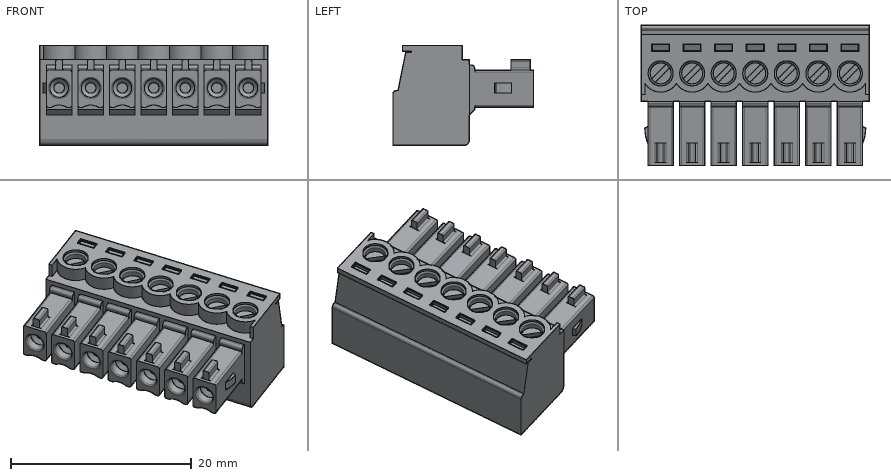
import cadquery as cq

LENGTH = 25.3
HEIGHT = 11.1
BODY_DEPTH = 8.48
PLUG_LENGTH = 7.13

POLES = 7
END_WALL = 0.4
PITCH = (LENGTH - 2 * END_WALL) / POLES
POLE_XS = [(i - (POLES - 1) / 2) * PITCH for i in range(POLES)]

FRONT_EDGE_RADIUS = 0.58
SHOULDER_Z = 6.1
SHOULDER_RADIUS = 0.38
SLOPE_BOTTOM_Y = 7.92
SLOPE_TOP_Y = 7.05
LIP_Y = 7.45
LIP_THICKNESS = 0.68
SLIT_HEIGHT = 0.08
SLIT_END_Y = 6.43

STEP_Z = 9.51
END_WALL_FRONT_Y = 0.75
SCREW_Y = 3.1
LOBE_RADIUS = 2.07

WELL_RADIUS = 1.4
WELL_DEPTH = 0.28
BORE_RADIUS = 1.16
BORE_ROUND = 0.18
SCREW_DEPTH = 1.04
SLOT_WIDTH = 0.55
SLOT_DEPTH = 0.55
SLOT_ANGLE = 45

RECESS_LENGTH = 2.0
RECESS_WIDTH = 0.8
RECESS_Y = 5.97
RECESS_RIM_DEPTH = 0.13
RECESS_LEDGE = 0.08
RECESS_BACK_DEPTH = 0.25
RECESS_FRONT_DEPTH = 0.5

PLUG_WIDTH = 2.83
PLUG_TOP_Z = 8.35
PLUG_BOTTOM_Z = 4.23
PLUG_EDGE_RADIUS = 0.23
GROOVE_WIDTH = 1.72
GROOVE_DEPTH = 0.25

COLLAR_DEPTH = 0.6
COLLAR_TOP_Z = 8.93
COLLAR_RADIUS = 0.38
COLLAR_FOOT_Z = 3.97

CONTACT_Z = 6.38
OPENING_RADIUS = 1.04
OPENING_MOUTH_ROUND = 0.15
OPENING_STRAIGHT_DEPTH = 1.05
CONTACT_RADIUS = 0.58
CONTACT_DEPTH = OPENING_STRAIGHT_DEPTH + OPENING_RADIUS - CONTACT_RADIUS

TAB_WIDTH = 0.75
TAB_LENGTH = 2.18
TAB_SETBACK = 0.35
TAB_TOP_ROUND = 0.18
TAB_FOOT_ROUND = 0.23

LATCH_REACH = 0.35
LATCH_HEIGHT = 1.05
LATCH_BACK_Y = -2.78
LATCH_CREST_Y = -2.95
LATCH_FRONT_Y = -4.68


def slab(x_min, x_max, y_min, y_max, z_min, z_max):
    """Box between the given limits."""
    size = (x_max - x_min, y_max - y_min, z_max - z_min)
    return cq.Workplane("XY").box(*size, centered=False).translate((x_min, y_min, z_min))


def side_extrusion(outline, width):
    """Extrude a closed outline in the YZ plane, centred on X = 0."""
    return outline.extrude(width / 2, both=True)


def make_housing():
    """Housing with a lip along the top of its sloped back and a thin slit under the lip."""
    lip_z = HEIGHT - LIP_THICKNESS
    outline = (
        cq.Workplane("YZ")
        .moveTo(0, FRONT_EDGE_RADIUS)
        .radiusArc((FRONT_EDGE_RADIUS, 0), -FRONT_EDGE_RADIUS)
        .lineTo(BODY_DEPTH, 0)
        .lineTo(BODY_DEPTH, SHOULDER_Z - SHOULDER_RADIUS)
        .radiusArc((BODY_DEPTH - SHOULDER_RADIUS, SHOULDER_Z), -SHOULDER_RADIUS)
        .lineTo(SLOPE_BOTTOM_Y, SHOULDER_Z)
        .lineTo(SLOPE_TOP_Y, lip_z - SLIT_HEIGHT)
        .lineTo(SLIT_END_Y, lip_z - SLIT_HEIGHT)
        .lineTo(SLIT_END_Y, lip_z)
        .lineTo(LIP_Y, lip_z)
        .lineTo(LIP_Y, HEIGHT)
        .lineTo(0, HEIGHT)
        .close()
    )
    return side_extrusion(outline, LENGTH)


def make_front_step():
    """Volume removed from the top front edge, leaving the end walls and the lobes."""
    inner_x = LENGTH / 2 - END_WALL
    step = slab(-LENGTH / 2, LENGTH / 2, 0, END_WALL_FRONT_Y, STEP_Z, HEIGHT)
    step = step.union(slab(-inner_x, inner_x, 0, SCREW_Y, STEP_Z, HEIGHT))
    lobe = cq.Workplane("XY").circle(LOBE_RADIUS).extrude(HEIGHT - STEP_Z)
    for x in POLE_XS:
        step = step.cut(lobe.translate((x, SCREW_Y, STEP_Z)))
    return step


def make_screw_well():
    """Screw well about the Z axis, its mouth at Z = 0, ending at a slotted screw head."""
    well = (
        cq.Workplane("XZ")
        .lineTo(WELL_RADIUS, 0)
        .lineTo(WELL_RADIUS, -WELL_DEPTH)
        .lineTo(BORE_RADIUS + BORE_ROUND, -WELL_DEPTH)
        .radiusArc((BORE_RADIUS, -WELL_DEPTH - BORE_ROUND), -BORE_ROUND)
        .lineTo(BORE_RADIUS, -SCREW_DEPTH)
        .lineTo(0, -SCREW_DEPTH)
        .close()
        .revolve(360, (0, 0, 0), (0, 1, 0))
    )
    head = cq.Workplane("XY", origin=(0, 0, -SCREW_DEPTH)).circle(BORE_RADIUS).extrude(-SLOT_DEPTH)
    slot = (
        cq.Workplane("XY", origin=(0, 0, -SCREW_DEPTH))
        .transformed(rotate=(0, 0, SLOT_ANGLE))
        .rect(2 * WELL_RADIUS, SLOT_WIDTH)
        .extrude(-SLOT_DEPTH)
    )
    return well.union(head.intersect(slot))


def make_marking_recess():
    """Recess about the Z axis, its rim at Z = 0, with a floor that falls toward the front."""
    rim = cq.Workplane("XY").rect(RECESS_LENGTH, RECESS_WIDTH).extrude(-RECESS_RIM_DEPTH)
    inner_y = RECESS_WIDTH / 2 - RECESS_LEDGE
    pocket = cq.Workplane("YZ").polyline([
        (-inner_y, 0),
        (inner_y, 0),
        (inner_y, -RECESS_BACK_DEPTH),
        (-inner_y, -RECESS_FRONT_DEPTH),
    ]).close()
    return rim.union(side_extrusion(pocket, RECESS_LENGTH - 2 * RECESS_LEDGE))


def make_collar():
    outline = (
        cq.Workplane("YZ")
        .moveTo(0, COLLAR_TOP_Z)
        .lineTo(COLLAR_RADIUS - COLLAR_DEPTH, COLLAR_TOP_Z)
        .radiusArc((-COLLAR_DEPTH, COLLAR_TOP_Z - COLLAR_RADIUS), -COLLAR_RADIUS)
        .lineTo(-COLLAR_DEPTH, COLLAR_FOOT_Z)
        .lineTo(0, COLLAR_FOOT_Z - COLLAR_DEPTH)
        .close()
    )
    return side_extrusion(outline, PLUG_WIDTH)


def make_plug_bar():
    half_width = PLUG_WIDTH / 2
    bar = slab(-half_width, half_width, -PLUG_LENGTH, 0, PLUG_BOTTOM_Z, PLUG_TOP_Z)
    bar = bar.edges("|Y").fillet(PLUG_EDGE_RADIUS)
    groove = (
        cq.Workplane("XZ")
        .moveTo(-GROOVE_WIDTH / 2, PLUG_BOTTOM_Z)
        .threePointArc((0, PLUG_BOTTOM_Z + GROOVE_DEPTH), (GROOVE_WIDTH / 2, PLUG_BOTTOM_Z))
        .close()
        .extrude(PLUG_LENGTH)
    )
    return bar.cut(groove)


def make_tab():
    """Tab with rounded top edges and a foot that flares into the top of the plug."""
    half_width = TAB_WIDTH / 2
    foot_x = half_width + TAB_FOOT_ROUND
    foot_z = PLUG_TOP_Z + TAB_FOOT_ROUND
    return (
        cq.Workplane("XZ", origin=(0, TAB_SETBACK - PLUG_LENGTH + TAB_LENGTH, 0))
        .moveTo(-foot_x, PLUG_TOP_Z)
        .radiusArc((-half_width, foot_z), -TAB_FOOT_ROUND)
        .lineTo(-half_width, STEP_Z - TAB_TOP_ROUND)
        .radiusArc((TAB_TOP_ROUND - half_width, STEP_Z), TAB_TOP_ROUND)
        .lineTo(half_width - TAB_TOP_ROUND, STEP_Z)
        .radiusArc((half_width, STEP_Z - TAB_TOP_ROUND), TAB_TOP_ROUND)
        .lineTo(half_width, foot_z)
        .radiusArc((foot_x, PLUG_TOP_Z), -TAB_FOOT_ROUND)
        .close()
        .extrude(TAB_LENGTH)
    )


def make_contact_opening():
    """Round-mouthed opening that narrows to a flat contact through a 45 degree cone."""
    return (
        cq.Workplane("XY", origin=(0, -PLUG_LENGTH, CONTACT_Z))
        .lineTo(OPENING_RADIUS + OPENING_MOUTH_ROUND, 0)
        .radiusArc((OPENING_RADIUS, OPENING_MOUTH_ROUND), OPENING_MOUTH_ROUND)
        .lineTo(OPENING_RADIUS, OPENING_STRAIGHT_DEPTH)
        .lineTo(CONTACT_RADIUS, CONTACT_DEPTH)
        .lineTo(0, CONTACT_DEPTH)
        .close()
        .revolve(360, (0, 0, 0), (0, 1, 0))
    )


def make_plug():
    return make_collar().union(make_plug_bar()).union(make_tab()).cut(make_contact_opening())


def make_latch():
    """Latch on the plug at the -X end, with a ramp that starts parallel to the plug at its crest."""
    root_x = POLE_XS[0] - PLUG_WIDTH / 2
    tip_x = root_x - LATCH_REACH
    ramp_length = LATCH_CREST_Y - LATCH_FRONT_Y
    ramp_radius = (LATCH_REACH**2 + ramp_length**2) / (2 * LATCH_REACH)
    return (
        cq.Workplane("XY", origin=(0, 0, CONTACT_Z - LATCH_HEIGHT / 2))
        .moveTo(root_x, LATCH_BACK_Y)
        .lineTo(tip_x, LATCH_CREST_Y)
        .radiusArc((root_x, LATCH_FRONT_Y), -ramp_radius)
        .close()
        .extrude(LATCH_HEIGHT)
    )


screw_well = make_screw_well()
marking_recess = make_marking_recess()
plug = make_plug()
latch = make_latch()

result = make_housing().cut(make_front_step())
for pole_x in POLE_XS:
    result = result.cut(screw_well.translate((pole_x, SCREW_Y, HEIGHT)))
    result = result.cut(marking_recess.translate((pole_x, RECESS_Y, HEIGHT)))
    result = result.union(plug.translate((pole_x, 0, 0)))
result = result.union(latch).union(latch.mirror("YZ"))